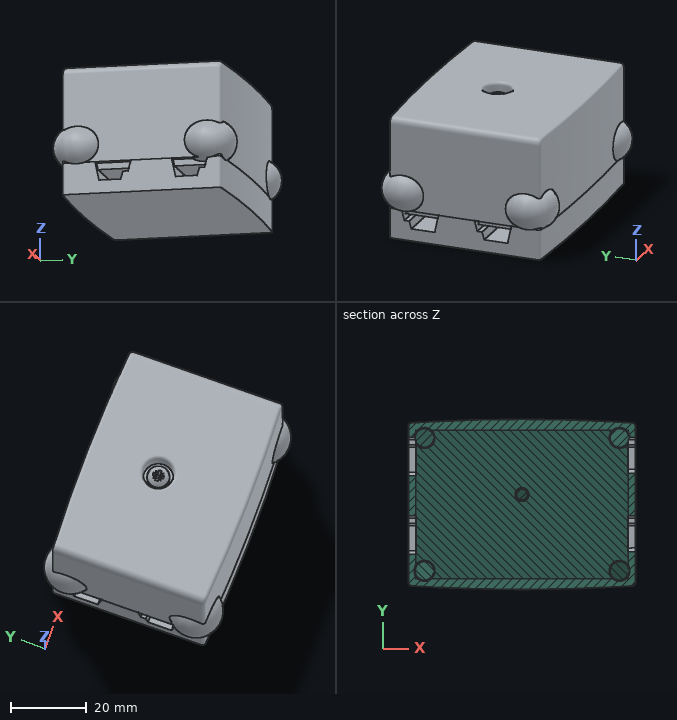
import cadquery as cq
import math

length = 60.0
end_width = 43.0
mid_width = 45.0
height = 34.5
parting_z = 8.5
edge_radius = 1.0
end_radius = 2.0
wall = 2.0
tongue_depth = 1.75

foot_flat_diameter = 3.0
foot_round_radius = 5.75
foot_x = 25.74
foot_y = 17.54
foot_z = 13.25
heel_size = 2.0
heel_height = 1.0

tunnel_ys = (12.25, -8.5)
tunnel_floor_z = 3.5
tunnel_ledge_z = 5.6
tunnel_taper = 0.75
ledge_outer = 4.85
ledge_inner = 3.5
floor_left = 2.85
floor_right = -3.75
top_left = 5.65
top_right = -4.85

pin_spacing = 3.7
pin_stub_diameter = 0.7
pin_stub_length = 0.5
pin_tip_diameter = 0.2
pin_length = 2.0

screw_y = 2.6
recess_diameter = 8.0
recess_depth = 4.0
recess_lip_radius = 1.0
clearance_diameter = 3.5
head_diameter = 6.0
head_rim_height = 1.1
head_height = 2.4
shank_diameter = 3.0
shank_end_z = 2.5
drive_length = 3.5
drive_width = 0.8
drive_bottom_length = drive_width
drive_depth = 1.5
mark_width = 0.08
mark_inner_radius = 0.95
mark_outer_radius = 1.5
mark_depth = 0.5

seat_z = height - recess_depth
tongue_z = parting_z - tongue_depth


def bulged_block(bottom_z, top_z):
    """Box whose two long sides are shallow outward arcs."""
    x = length / 2
    y = end_width / 2
    return (
        cq.Workplane("XY", origin=(0, 0, bottom_z))
        .moveTo(-x, -y)
        .threePointArc((0, -mid_width / 2), (x, -y))
        .lineTo(x, y)
        .threePointArc((0, mid_width / 2), (-x, y))
        .close()
        .extrude(top_z - bottom_z)
    )


def tongue_block():
    """Plate under the cover that fills the pocket in the base."""
    return (
        cq.Workplane("XY", origin=(0, 0, tongue_z))
        .rect(length - 2 * wall, end_width - 2 * wall)
        .extrude(tongue_depth)
    )


def cylinder(diameter, bottom_z, top_z):
    """Upright cylinder on the screw axis."""
    return (
        cq.Workplane("XY", origin=(0, screw_y, bottom_z))
        .circle(diameter / 2)
        .extrude(top_z - bottom_z)
    )


def make_foot(side_x, side_y):
    """Disc with a round rim, plus a heel that fills the box corner down to the base."""
    flat = foot_flat_diameter / 2
    profile = (
        cq.Workplane("XZ")
        .moveTo(0, -foot_round_radius)
        .lineTo(flat, -foot_round_radius)
        .threePointArc((flat + foot_round_radius, 0), (flat, foot_round_radius))
        .lineTo(0, foot_round_radius)
        .close()
    )
    disc = profile.revolve(360, (0, 0, 0), (0, 1, 0))
    disc = disc.translate((side_x * foot_x, side_y * foot_y, foot_z))
    heel_zone = (
        cq.Workplane("XY", origin=(side_x * length / 2, side_y * end_width / 2, parting_z))
        .rect(2 * heel_size, 2 * heel_size)
        .extrude(heel_height)
    )
    heel = bulged_block(parting_z, foot_z).edges("|Z").fillet(edge_radius).intersect(heel_zone)
    return disc.union(heel)


def tunnel_outline(y, taper):
    """Cross-section of a cable tunnel, with a ledge on its +Y side."""
    return [
        (y + top_left, parting_z),
        (y + ledge_outer, tunnel_ledge_z),
        (y + ledge_inner, tunnel_ledge_z),
        (y + floor_left, tunnel_floor_z),
        (y + floor_right + taper, tunnel_floor_z),
        (y + top_right + taper, parting_z),
    ]


def make_tunnel(y):
    """Tunnel through the whole length, narrowing towards +X."""
    return (
        cq.Workplane("YZ", origin=(-length / 2, 0, 0))
        .polyline(tunnel_outline(y, 0))
        .close()
        .workplane(offset=length)
        .polyline(tunnel_outline(y, tunnel_taper))
        .close()
        .loft(ruled=True, combine=True)
    )


def make_pin(y):
    """Short stub tapering to a thin tip, hanging from the tongue."""
    stub = pin_stub_diameter / 2
    tip = pin_tip_diameter / 2
    profile = (
        cq.Workplane("XZ")
        .moveTo(0, 0)
        .lineTo(stub, 0)
        .lineTo(stub, -pin_stub_length)
        .lineTo(tip, -2 * pin_stub_length)
        .lineTo(tip, -pin_length)
        .lineTo(0, -pin_length)
        .close()
    )
    return profile.revolve(360, (0, 0, 0), (0, 1, 0)).translate((0, y, tongue_z))


def make_drive_slot(angle):
    """One tapered slot of the cross drive, sunk from the crown of the head."""
    slot = (
        cq.Workplane("XZ")
        .moveTo(-drive_length / 2, 0)
        .lineTo(drive_length / 2, 0)
        .lineTo(drive_bottom_length / 2, -drive_depth)
        .lineTo(-drive_bottom_length / 2, -drive_depth)
        .close()
        .extrude(drive_width / 2, both=True)
    )
    return slot.rotate((0, 0, 0), (0, 0, 1), angle).translate((0, screw_y, seat_z + head_height))


def make_drive_mark(angle):
    """Thin diagonal mark between the arms of the cross drive."""
    mark_length = mark_outer_radius - mark_inner_radius
    mark = cq.Workplane("XY").box(mark_length, mark_width, 2 * mark_depth)
    mark = mark.translate((mark_inner_radius + mark_length / 2, 0, 0))
    return mark.rotate((0, 0, 0), (0, 0, 1), angle).translate((0, screw_y, seat_z + head_height))


def make_screw():
    """Domed-head screw with a cross drive."""
    radius = head_diameter / 2
    rise = head_height - head_rim_height
    dome_radius = (radius**2 + rise**2) / (2 * rise)
    half_angle = math.asin(radius / dome_radius) / 2
    dome_mid = (
        dome_radius * math.sin(half_angle),
        head_height - dome_radius * (1 - math.cos(half_angle)),
    )
    head = (
        cq.Workplane("XZ")
        .lineTo(radius, 0)
        .lineTo(radius, head_rim_height)
        .threePointArc(dome_mid, (0, head_height))
        .close()
        .revolve(360, (0, 0, 0), (0, 1, 0))
        .translate((0, screw_y, seat_z))
    )
    screw = head.union(cylinder(shank_diameter, shank_end_z, seat_z))
    for angle in (0, 90):
        screw = screw.cut(make_drive_slot(angle))
    for angle in (45, 135, 225, 315):
        screw = screw.cut(make_drive_mark(angle))
    return screw


def make_cover(feet):
    """Upper box with its tongue, contact pins and screw recess."""
    shell = bulged_block(parting_z, height)
    shell = shell.faces(">Z").edges("|Y").fillet(end_radius)
    shell = shell.edges("|Z").fillet(edge_radius)

    lip = recess_diameter / 2 + recess_lip_radius
    recess = (
        cq.Workplane("XZ")
        .moveTo(0, seat_z)
        .lineTo(recess_diameter / 2, seat_z)
        .lineTo(recess_diameter / 2, height - recess_lip_radius)
        .radiusArc((lip, height), recess_lip_radius)
        .lineTo(0, height)
        .close()
        .revolve(360, (0, 0, 0), (0, 1, 0))
        .translate((0, screw_y, 0))
    )
    cover = shell.union(tongue_block())
    cover = cover.cut(recess).cut(cylinder(clearance_diameter, tongue_z, seat_z))
    for tunnel_y in tunnel_ys:
        for side in (-1, 1):
            cover = cover.union(make_pin(tunnel_y + side * pin_spacing / 2))
    for foot in feet:
        cover = cover.cut(foot)
    return cover


def make_base(feet):
    """Lower box with the tongue pocket, cable tunnels and screw hole."""
    base = bulged_block(0, parting_z).edges("|Z").fillet(edge_radius)
    base = base.cut(tongue_block()).cut(cylinder(shank_diameter, shank_end_z, tongue_z))
    for tunnel_y in tunnel_ys:
        base = base.cut(make_tunnel(tunnel_y))
    for foot in feet:
        base = base.cut(foot)
    return base


feet = [make_foot(x, y) for x in (-1, 1) for y in (-1, 1)]
cover = make_cover(feet)
base = make_base(feet)
screw = make_screw()

result = cq.Compound.makeCompound([base.val(), cover.val(), screw.val(), *[foot.val() for foot in feet]])